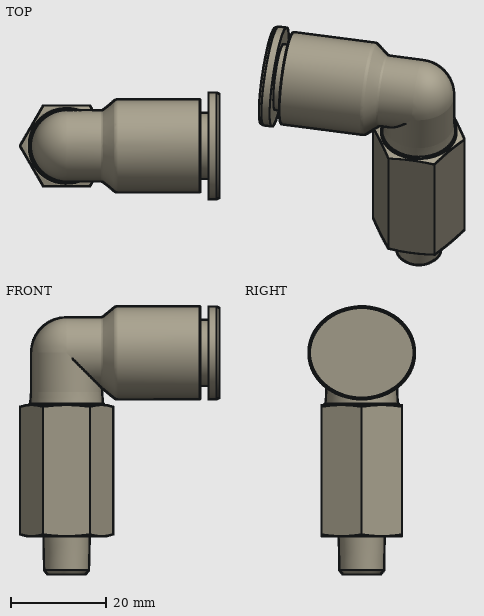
import cadquery as cq
import math

TOTAL_HEIGHT = 56.5

STUD_TOP_RADIUS = 4.9
STUD_LOW_RADIUS = 4.75
STUD_TIP_RADIUS = 3.95
STUD_TIP_HEIGHT = 0.95

HEX_CORNER_RADIUS = 9.85
HEX_BOTTOM = 8.1
HEX_TOP = 35.7
HEX_CHAMFER_ANGLE = 15.0
HEX_FACE_RADIUS = 8.35

ELBOW_RADIUS = 7.5
COLLAR_RADIUS = 7.7
COLLAR_BOTTOM = 36.05
COLLAR_TOP = 38.35
FOOT_RADIUS = 7.95

SOCKET_RADIUS = 9.85
SOCKET_AXIS_Z = TOTAL_HEIGHT - SOCKET_RADIUS
SHOULDER_START = 7.5
SHOULDER_END = 10.35
SHOULDER_INNER_FILLET = 0.7
SHOULDER_OUTER_FILLET = 1.1
SOCKET_END = 28.15
SOCKET_EDGE_CHAMFER = 0.15

NECK_RADIUS = 7.0
FLANGE_START = 29.85
FLANGE_END = 32.2
FLANGE_WIDTH = 22.5
FLANGE_HEIGHT = 19.55
FLANGE_CHAMFER = 0.6
FLANGE_CHAMFER_INSET = 0.35

POSITION_TOLERANCE = 0.005


def turned_on_z(points):
    """Revolve a (radius, height) outline about the Z axis."""
    return cq.Workplane("XZ").polyline(points).close().revolve(360, (0, 0), (0, 1))


def socket_plane(x):
    """Plane square to the socket axis: local x is +Y, local y is +Z."""
    return cq.Workplane("YZ", origin=(x, 0, SOCKET_AXIS_Z))


def make_stud():
    return turned_on_z([
        (0, 0),
        (STUD_TIP_RADIUS, 0),
        (STUD_LOW_RADIUS, STUD_TIP_HEIGHT),
        (STUD_TOP_RADIUS, HEX_BOTTOM),
        (0, HEX_BOTTOM),
    ])


def make_hex():
    height = HEX_TOP - HEX_BOTTOM
    prism = (
        cq.Workplane("XY", origin=(0, 0, HEX_BOTTOM))
        .polygon(6, 2 * HEX_CORNER_RADIUS)
        .extrude(height)
    )
    corner_drop = (HEX_CORNER_RADIUS - HEX_FACE_RADIUS) * math.tan(math.radians(HEX_CHAMFER_ANGLE))
    envelope = turned_on_z([
        (0, HEX_BOTTOM),
        (HEX_FACE_RADIUS, HEX_BOTTOM),
        (HEX_CORNER_RADIUS, HEX_BOTTOM + corner_drop),
        (HEX_CORNER_RADIUS, HEX_TOP - corner_drop),
        (HEX_FACE_RADIUS, HEX_TOP),
        (0, HEX_TOP),
    ])
    return prism.intersect(envelope)


def make_elbow():
    upright = turned_on_z([
        (0, HEX_TOP),
        (FOOT_RADIUS, HEX_TOP),
        (COLLAR_RADIUS, COLLAR_BOTTOM),
        (ELBOW_RADIUS, COLLAR_TOP),
        (ELBOW_RADIUS, SOCKET_AXIS_Z),
        (0, SOCKET_AXIS_Z),
    ])
    corner = cq.Workplane("XY", origin=(0, 0, SOCKET_AXIS_Z)).sphere(ELBOW_RADIUS)
    return upright.union(corner)


def fillet_ring(body, x, fillet_radius):
    """Round the circular edge that lies square to the socket axis at x."""
    ring = body.edges("%CIRCLE").filter(lambda edge: abs(edge.Center().x - x) < POSITION_TOLERANCE)
    return ring.fillet(fillet_radius)


def make_socket():
    """Level arm of the elbow, its conical shoulder and the sleeve, turned in one piece."""
    outline = [
        (0, 0),
        (0, ELBOW_RADIUS),
        (SHOULDER_START, ELBOW_RADIUS),
        (SHOULDER_END, SOCKET_RADIUS),
        (SOCKET_END - SOCKET_EDGE_CHAMFER, SOCKET_RADIUS),
        (SOCKET_END, SOCKET_RADIUS - SOCKET_EDGE_CHAMFER),
        (SOCKET_END, 0),
    ]
    socket = (
        cq.Workplane("XZ", origin=(0, 0, SOCKET_AXIS_Z))
        .polyline(outline)
        .close()
        .revolve(360, (0, 0), (1, 0))
    )
    socket = fillet_ring(socket, SHOULDER_START, SHOULDER_INNER_FILLET)
    return fillet_ring(socket, SHOULDER_END, SHOULDER_OUTER_FILLET)


def make_button():
    neck = socket_plane(SOCKET_END).circle(NECK_RADIUS).extrude(FLANGE_START - SOCKET_END)
    half_width = FLANGE_WIDTH / 2
    half_height = FLANGE_HEIGHT / 2
    rim_length = FLANGE_END - FLANGE_START - FLANGE_CHAMFER
    rim = socket_plane(FLANGE_START).ellipse(half_width, half_height).extrude(rim_length)
    edge = (
        socket_plane(FLANGE_END - FLANGE_CHAMFER)
        .ellipse(half_width, half_height)
        .workplane(offset=FLANGE_CHAMFER)
        .ellipse(half_width - FLANGE_CHAMFER_INSET, half_height - FLANGE_CHAMFER_INSET)
        .loft(ruled=True)
    )
    return neck.union(rim).union(edge)


result = make_stud().union(make_hex()).union(make_elbow()).union(make_socket()).union(make_button())